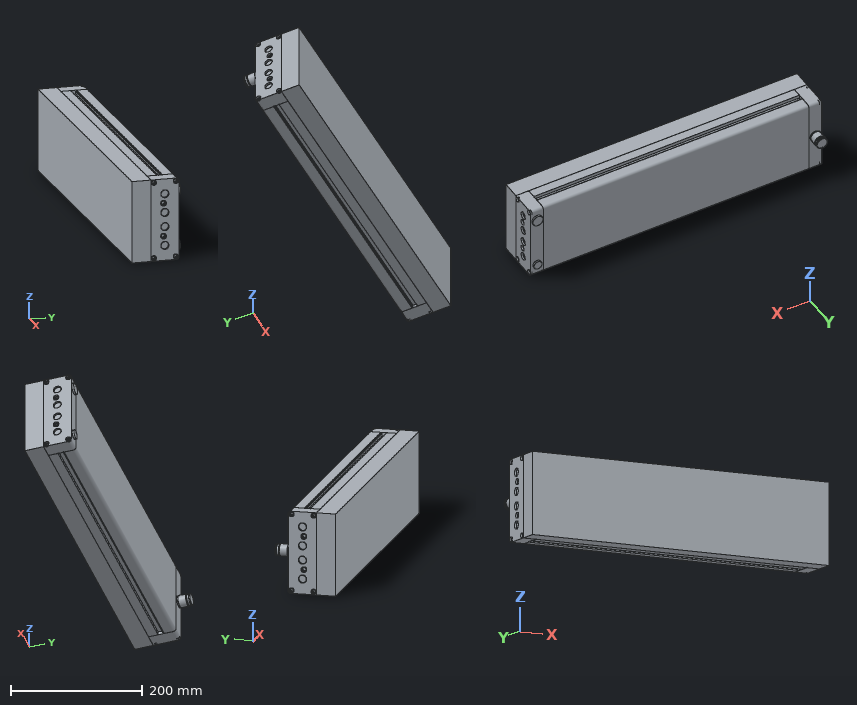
import cadquery as cq

LENGTH = 514
HEIGHT = 130.0
COVER_DEPTH = 30.5
HOUSING_DEPTH = 44.5
CAP_WIDTH = 22.5
REAR_EDGE_RADIUS = 5.0

PROFILE_LENGTH = LENGTH - 2 * CAP_WIDTH
CAP_CENTER_X = (LENGTH - CAP_WIDTH) / 2

SLOT_FRONT_Y = 15.5
SLOT_WIDTH = 7.5
SLOT_DEPTH = 5.5
LEDGE_WIDTH = 1.5
LEDGE_DEPTH = 2.0

RECESS_DEPTH = 3.0
BORE_DEPTH = 6.0
SCREW_HEAD_DIAMETER = 7.5
SCREW_BORE_DIAMETER = 4.5
SCREW_TOP_DISTANCE = 4.9
SCREW_JOINT_DISTANCE = 4.5
SCREW_REAR_DISTANCE = 5.0
PORT_DIAMETER = 12.5
PORT_Y = 22.0
PORT_PAIR_Z = 26.0
PORT_HALF_PITCH = 15.0
THREAD_RECESS_DIAMETER = 8.5
THREAD_BORE_DIAMETER = 5.5
THREAD_Y = 20.0

PLUG_Z = 44.5
PLUG_HEIGHT = 3.0
UPPER_PLUG_DIAMETER = 18.0
LOWER_PLUG_DIAMETER = 14.5

CONNECTOR_STEPS = [
    (18.5, 2.0),
    (19.5, 12.5),
    (18.5, 1.5),
    (17.5, 3.0),
    (18.5, 2.0),
]


def rear_block(length, center_x):
    """Block behind the cover, with its two long rear edges rounded."""
    return (
        cq.Workplane("XY")
        .box(length, HOUSING_DEPTH, HEIGHT)
        .translate((center_x, HOUSING_DEPTH / 2, 0))
        .edges("|X and >Y")
        .fillet(REAR_EDGE_RADIUS)
    )


def rear_cylinder(diameter, length, x, y, z):
    """Cylinder that starts at y and runs toward +Y."""
    return cq.Workplane(cq.Solid.makeCylinder(diameter / 2, length, cq.Vector(x, y, z), cq.Vector(0, 1, 0)))


def end_bore(side, diameter, depth, y, z):
    """Cutting cylinder sunk into the left (side = -1) or right (side = 1) end."""
    start = cq.Vector(side * LENGTH / 2, y, z)
    return cq.Workplane(cq.Solid.makeCylinder(diameter / 2, depth, start, cq.Vector(-side, 0, 0)))


def make_cover():
    """Plain block across the whole front."""
    return cq.Workplane("XY").box(LENGTH, COVER_DEPTH, HEIGHT).translate((0, -COVER_DEPTH / 2, 0))


def slot_cutter(width, depth, front_y, side):
    """Bar that cuts a full-length slot in the upper (side = 1) or lower (side = -1) face."""
    center = (0, front_y + width / 2, side * (HEIGHT - depth) / 2)
    return cq.Workplane("XY").box(PROFILE_LENGTH, width, depth).translate(center)


def make_profile():
    """Middle housing with a stepped slot in its upper and lower faces."""
    profile = rear_block(PROFILE_LENGTH, 0)
    for side in (1, -1):
        profile = profile.cut(slot_cutter(SLOT_WIDTH, SLOT_DEPTH, SLOT_FRONT_Y, side))
        profile = profile.cut(slot_cutter(SLOT_WIDTH + LEDGE_WIDTH, LEDGE_DEPTH, SLOT_FRONT_Y, side))
    return profile


def make_cap(side):
    """End cap with corner screw recesses and two groups of ports on its outer end."""
    cap = rear_block(CAP_WIDTH, side * CAP_CENTER_X)
    screw_z = HEIGHT / 2 - SCREW_TOP_DISTANCE
    for half in (1, -1):
        for screw_y in (SCREW_JOINT_DISTANCE, HOUSING_DEPTH - SCREW_REAR_DISTANCE):
            cap = cap.cut(end_bore(side, SCREW_HEAD_DIAMETER, RECESS_DEPTH, screw_y, half * screw_z))
            cap = cap.cut(end_bore(side, SCREW_BORE_DIAMETER, BORE_DEPTH, screw_y, half * screw_z))
        group_z = half * PORT_PAIR_Z
        for offset in (PORT_HALF_PITCH, -PORT_HALF_PITCH):
            cap = cap.cut(end_bore(side, PORT_DIAMETER, RECESS_DEPTH, PORT_Y, group_z + offset))
        cap = cap.cut(end_bore(side, THREAD_RECESS_DIAMETER, RECESS_DEPTH, THREAD_Y, group_z))
        cap = cap.cut(end_bore(side, THREAD_BORE_DIAMETER, BORE_DEPTH, THREAD_Y, group_z))
    return cap


def make_left_cap():
    """Left end cap with the stepped connector on its rear face."""
    cap = make_cap(-1)
    step_y = HOUSING_DEPTH
    for diameter, length in CONNECTOR_STEPS:
        cap = cap.union(rear_cylinder(diameter, length, -CAP_CENTER_X, step_y, 0))
        step_y += length
    return cap


def make_right_cap():
    """Right end cap with two round plugs on its rear face."""
    cap = make_cap(1)
    for diameter, z in ((UPPER_PLUG_DIAMETER, PLUG_Z), (LOWER_PLUG_DIAMETER, -PLUG_Z)):
        cap = cap.union(rear_cylinder(diameter, PLUG_HEIGHT, CAP_CENTER_X, HOUSING_DEPTH, z))
    return cap


cover = make_cover()
profile = make_profile()
left_cap = make_left_cap()
right_cap = make_right_cap()

result = cq.Compound.makeCompound([cover.val(), profile.val(), left_cap.val(), right_cap.val()])